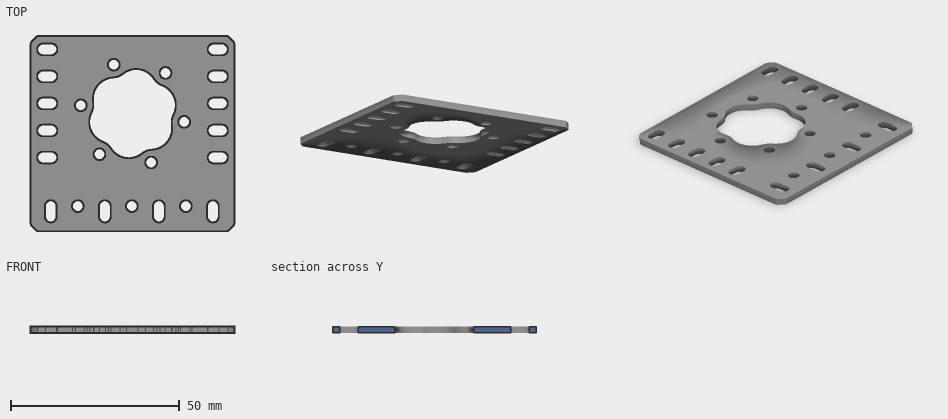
import cadquery as cq
import math

plate_length = 60.4
plate_width = 57.89
plate_thickness = 2.0
corner_chamfer = 2.0
chamfer_blend_radius = 1.0
left_edge = -plate_length / 2
top_edge = plate_width / 2
bottom_edge = -plate_width / 2

screw_diameter = 3.4
grid_pitch = 8.0

side_slot_count = 5
side_slot_travel = 2.5
side_slot_edge_distance = 4.95
side_slot_top_distance = 4.0

bottom_row_count = 7
bottom_row_left_distance = 6.0
bottom_hole_edge_distance = 7.5
bottom_slot_travel = 3.1

lobe_count = 6
lobe_step = 360 / lobe_count
opening_top_distance = 23.0
opening_y = top_edge - opening_top_distance
first_lobe_angle = 20.9
lobe_radius = 6.25
lobe_centre_radius = 7.0
valley_radius = 5.0
ring_hole_radius = 15.5


def polar(radius, angle):
    """Point at the given radius and angle (degrees) about the opening centre."""
    turn = math.radians(angle)
    return (radius * math.cos(turn), opening_y + radius * math.sin(turn))


def between(start, end, fraction):
    """Point part of the way from start to end."""
    return (
        start[0] + (end[0] - start[0]) * fraction,
        start[1] + (end[1] - start[1]) * fraction,
    )


def make_plate():
    """Plate with chamfered corners, the chamfer ends blended into the sides."""
    plate = cq.Workplane("XY").box(
        plate_length, plate_width, plate_thickness, centered=(True, True, False)
    )
    chamfered = plate.edges("|Z").chamfer(corner_chamfer)
    return chamfered.edges("|Z").fillet(chamfer_blend_radius)


def round_holes(points):
    return cq.Workplane("XY").pushPoints(points).circle(screw_diameter / 2).extrude(plate_thickness)


def slots(points, travel, angle):
    length = travel + screw_diameter
    return cq.Workplane("XY").pushPoints(points).slot2D(length, screw_diameter, angle).extrude(plate_thickness)


def side_slots():
    slot_x = plate_length / 2 - side_slot_edge_distance
    first_y = top_edge - side_slot_top_distance
    points = [(x, first_y - row * grid_pitch) for x in (-slot_x, slot_x) for row in range(side_slot_count)]
    return slots(points, side_slot_travel, 0)


def bottom_row():
    hole_y = bottom_edge + bottom_hole_edge_distance
    slot_y = hole_y - bottom_slot_travel / 2
    columns = [left_edge + bottom_row_left_distance + i * grid_pitch for i in range(bottom_row_count)]
    upright_slots = slots([(x, slot_y) for x in columns[0::2]], bottom_slot_travel, 90)
    return upright_slots.union(round_holes([(x, hole_y) for x in columns[1::2]]))


def lobed_opening():
    """Outward lobe arcs joined by tangent inward valley arcs."""
    half_step = math.radians(lobe_step / 2)
    centre_gap = lobe_radius + valley_radius
    lobe_offset = lobe_centre_radius * math.sin(half_step)
    valley_centre_radius = lobe_centre_radius * math.cos(half_step) + math.sqrt(centre_gap**2 - lobe_offset**2)
    tangent_fraction = lobe_radius / centre_gap

    def tangent_point(lobe_angle, side):
        lobe_centre = polar(lobe_centre_radius, lobe_angle)
        valley_centre = polar(valley_centre_radius, lobe_angle + side * lobe_step / 2)
        return between(lobe_centre, valley_centre, tangent_fraction)

    outline = cq.Workplane("XY").moveTo(*tangent_point(first_lobe_angle, -1))
    for i in range(lobe_count):
        angle = first_lobe_angle + i * lobe_step
        lobe_tip = polar(lobe_centre_radius + lobe_radius, angle)
        valley_floor = polar(valley_centre_radius - valley_radius, angle + lobe_step / 2)
        outline = outline.threePointArc(lobe_tip, tangent_point(angle, 1))
        outline = outline.threePointArc(valley_floor, tangent_point(angle + lobe_step, -1))
    return outline.close().extrude(plate_thickness)


def ring_holes():
    first_hole_angle = first_lobe_angle + lobe_step / 2
    return round_holes([polar(ring_hole_radius, first_hole_angle + i * lobe_step) for i in range(lobe_count)])


result = make_plate().cut(side_slots()).cut(bottom_row()).cut(lobed_opening()).cut(ring_holes())